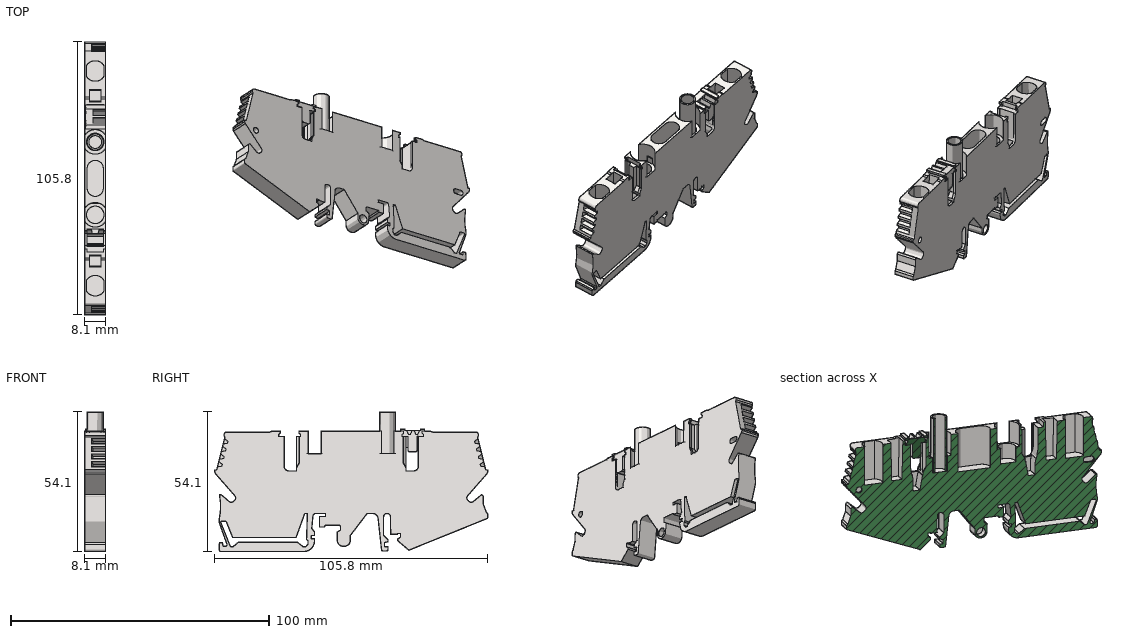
import cadquery as cq
import math

LENGTH = 105.8
WIDTH = 8.1
HALF_LENGTH = LENGTH / 2
HALF_WIDTH = WIDTH / 2
TOTAL_HEIGHT = 54.1
TOP = 46.7
END_TOP = 46.3
END_STEP_Y = (30.8, 31.5)

BORE_Y = 14.12
BORE_RADIUS = 4.8
BORE_FLOOR = 38.0
SOCKET_RADIUS = 3.4
SOCKET_FLOOR = 31.7
KEY_WIDTH = 2.5
KEY_FACE_OFFSET = 4.3
KEY_TOP = 40.7

TUBE_Y = 14.1
TUBE_RADIUS = 3.12
TUBE_INNER_RADIUS = 2.49

CENTRE_WELL_LENGTH = 14.0
CENTRE_WELL_WIDTH = 6.2
WELL_DEPTH = 15.9
WIRE_ENTRY_Y = 41.6
WIRE_ENTRY_RADIUS = 3.97
WIRE_ENTRY_WIDTH = 6.8
RELEASE_Y = 32.0
RELEASE_WIDTH = 4.4
RELEASE_LENGTH = 4.8
RELEASE_FLOOR_LENGTH = 4.0

SNAP_INNER_Y = 19.7
SNAP_OUTER_Y = 28.0
SNAP_FLOOR = 44.6
SNAP_LIP = 0.6
SNAP_LIP_BOTTOM = 45.9
SNAP_GROOVE_TOP = 45.4
SLOT_INNER_Y = 20.2
SLOT_OUTER_Y = 25.9
SLOT_FLOOR = 31.3
SLOT_CORNER_RADIUS = 1.7
SLOT_SHOULDER_TOP = 34.5
SLOT_SHOULDER_BOTTOM = 32.4
RIB_BASE_Y = 20.0
RIB_TIP_Y = 21.3
RIB_BASE_WIDTH = 3.0
RIB_TIP_WIDTH = 2.2
CHANNEL_WIDTH = 6.2
CHANNEL_INNER_Y = 19.6
CHANNEL_OUTER_Y = 28.6
CHANNEL_FLOOR = 25.4

GROOVE_WIDTH = 2.1
GROOVE_FLOOR_WIDTH = 0.7
GROOVE_DEPTH = 1.6
GRIP_START_X = -1.53
GRIP_PITCH = 3.0
GRIP_LOWEST = 33.9
GRIP_COUNT = 4
SLOPE_TOP = (49.0, 44.3)
SLOPE_BOTTOM = (52.0, 32.4)

SIDE_HOLE_Z = 28.7
SIDE_HOLE_RADIUS = 1.2
SIDE_HOLE_Y = 47.6
SIDE_SLOT_Y = -47.56
SIDE_SLOT_LENGTH = 4.3
SIDE_SLOT_HEIGHT = 2.1
SIDE_HOLE_DEPTH = 3.2
LUG_Y = -2.9
LUG_Z = 4.5
LUG_RADIUS = 2.5
LUG_HOLE_RADIUS = 1.7
LUG_HOLE_DEPTH = 5.3

CAP_LEFT = -3.7
CAP_TOP = 47.0
TAB_TOP = 47.5
TAB_OUTER_Y = 28.5
TAB_INNER_Y = 19.1
TAB_LENGTH = 1.6
STEM_OUTER_Y = 25.6
STEM_INNER_Y = 21.9
STEM_BOTTOM = 38.6
STEM_CHAMFER = 0.5
TONGUE_BOTTOM = 40.3
TONGUE_WIDTH = 2.1
CAP_GROOVE_START_X = -1.0
CAP_GROOVE_CENTRES = (25.4, 22.5)


def mirrored(points):
    """The same corners on the other side of Y = 0, in the opposite order."""
    return [(-p[0], *p[1:]) for p in reversed(points)]


def rounded_profile(points, left=-HALF_WIDTH, right=HALF_WIDTH):
    """Extrude along X a YZ polygon. A corner is (y, z) or, when rounded, (y, z, radius)."""
    stretches = []
    for i, corner in enumerate(points):
        here = cq.Vector(corner[0], corner[1])
        if len(corner) == 2:
            stretches.append((here,))
            continue
        before = points[i - 1]
        after = points[(i + 1) % len(points)]
        to_before = (cq.Vector(before[0], before[1]) - here).normalized()
        to_after = (cq.Vector(after[0], after[1]) - here).normalized()
        half_angle = to_before.getAngle(to_after) / 2
        radius = corner[2]
        setback = radius / math.tan(half_angle)
        bisector = (to_before + to_after).normalized()
        middle = here + bisector * (radius / math.sin(half_angle) - radius)
        stretches.append((here + to_before * setback, middle, here + to_after * setback))

    outline = cq.Workplane("YZ", origin=(left, 0, 0)).moveTo(*stretches[0][-1].toTuple()[:2])
    for stretch in stretches[1:] + stretches[:1]:
        outline = outline.lineTo(*stretch[0].toTuple()[:2])
        if len(stretch) == 3:
            outline = outline.threePointArc(stretch[1].toTuple()[:2], stretch[2].toTuple()[:2])
    return outline.close().extrude(right - left)


def box(x_range, y_range, z_range):
    """Box between pairs of limits."""
    lows, highs = zip(*(sorted(limits) for limits in (x_range, y_range, z_range)))
    sizes = [high - low for low, high in zip(lows, highs)]
    return cq.Workplane("XY").box(*sizes, centered=False).translate(lows)


def upright_cylinder(y, radius, bottom, top):
    return cq.Workplane("XY", origin=(0, y, bottom)).circle(radius).extrude(top - bottom)


def housing_blank():
    """Plate with the side outline of the housing: head, end notches, rail feet and label frame."""
    end = [
        (END_STEP_Y[0], TOP),
        (END_STEP_Y[1], END_TOP),
        (49.3, END_TOP, 1.1),
        (49.3, 45.0),
        SLOPE_TOP,
        SLOPE_BOTTOM,
        (52.2, 31.7),
        (HALF_LENGTH, 31.6),
        (HALF_LENGTH, 30.9),
        (52.6, 30.2),
        (44.3, 20.7, 1.3),
        (46.4, 18.7, 1.3),
    ]
    lower_plus_end = [
        (50.5, 22.1),
        (51.2, 21.5),
        (51.2, 18.4),
        (52.4, 15.2),
        (HALF_LENGTH, 14.6),
        (HALF_LENGTH, 12.9, 0.5),
    ]
    fixed_foot = [
        (22.3, 0.5),
        (18.0, 4.2),
        (18.0, 5.0),
        (19.0, 5.6),
        (19.0, 7.0),
        (18.0, 7.0),
        (18.0, 6.7),
        (15.2, 6.7),
        (15.1, 14.7, 1.2),
        (12.6, 14.7, 1.2),
    ]
    spring_leg = [
        (12.6, 6.3),
        (14.3, 4.7),
        (14.3, 3.8),
        (12.9, 3.5),
        (12.9, 1.9),
        (14.3, 1.9),
        (14.3, 0.2, 0.7),
        (11.7, 0.2, 0.7),
        (10.2, 14.7, 1.9),
    ]
    lug = [
        (6.1, 14.7),
        (-0.3, 6.2),
        (-0.3, LUG_Z - LUG_RADIUS, LUG_RADIUS - 0.1),
        (-5.4, LUG_Z - LUG_RADIUS, LUG_RADIUS - 0.1),
        (-5.5, 7.6),
        (-4.2, 8.4),
        (-4.2, 10.2, 0.4),
    ]
    hook = [
        (-10.0, 10.2),
        (-10.4, 9.5),
        (-12.4, 9.5),
        (-12.4, 13.6),
        (-10.0, 13.6),
        (-10.0, 14.7),
        (-14.7, 14.7, 0.8),
        (-15.2, 9.0),
        (-14.2, 7.6),
        (-14.2, 6.2),
        (-15.4, 6.2),
        (-15.4, 5.1),
        (-14.2, 5.1),
    ]
    label_frame = [
        (-14.2, 0.0, 4.2),
        (-51.2, 0.0, 0.8),
        (-51.2, 2.9),
        (-51.0, 3.5),
        (-49.8, 3.5),
        (-49.6, 2.1),
        (-48.4, 2.1),
        (-48.1, 2.8),
        (-51.0, 10.8),
        (-51.2, 11.5),
        (-51.2, 12.5),
        (-50.3, 17.1, 22.2),
        (-51.0, 21.4),
        (-51.0, 22.1),
        (-50.4, 22.1),
    ]
    return rounded_profile(
        end + lower_plus_end + fixed_foot + spring_leg + lug + hook + label_frame + mirrored(end)
    )


def label_window():
    """Opening between the head and the label frame at the -Y end."""
    return rounded_profile([
        (-17.0, 14.7),
        (-18.0, 14.7),
        (-21.4, 5.4),
        (-45.9, 5.4),
        (-48.5, 11.7, 0.4),
        (-50.7, 11.7, 0.4),
        (-46.8, 1.9, 0.4),
        (-45.8, 1.9),
        (-43.7, 3.7),
        (-20.8, 3.7),
        (-18.6, 1.9),
        (-17.7, 1.9),
        (-16.8, 2.9),
        (-16.8, 4.2),
        (-17.4, 4.7),
    ])


def snap_slot():
    """Cross slot with a snap groove at the top, on the +Y side, less the guide rib in it."""
    opening = TOP + 1.1
    lip_inner = SNAP_INNER_Y + SNAP_LIP
    lip_outer = SNAP_OUTER_Y - SNAP_LIP
    slot = rounded_profile([
        (lip_inner, opening),
        (lip_inner, SNAP_LIP_BOTTOM),
        (SNAP_INNER_Y, SNAP_GROOVE_TOP),
        (SNAP_INNER_Y, SNAP_FLOOR),
        (SLOT_INNER_Y, SNAP_FLOOR),
        (SLOT_INNER_Y, SLOT_SHOULDER_TOP),
        (RIB_TIP_Y, SLOT_SHOULDER_BOTTOM),
        (RIB_TIP_Y, SLOT_FLOOR),
        (SLOT_OUTER_Y, SLOT_FLOOR, SLOT_CORNER_RADIUS),
        (SLOT_OUTER_Y, SNAP_FLOOR),
        (SNAP_OUTER_Y, SNAP_FLOOR),
        (SNAP_OUTER_Y, SNAP_GROOVE_TOP),
        (lip_outer, SNAP_LIP_BOTTOM),
        (lip_outer, opening),
    ])
    rib = (
        cq.Workplane("XY", origin=(0, 0, SLOT_FLOOR))
        .polyline([
            (-RIB_BASE_WIDTH / 2, RIB_BASE_Y),
            (-RIB_TIP_WIDTH / 2, RIB_TIP_Y),
            (RIB_TIP_WIDTH / 2, RIB_TIP_Y),
            (RIB_BASE_WIDTH / 2, RIB_BASE_Y),
        ])
        .close()
        .extrude(SNAP_FLOOR - SLOT_FLOOR)
    )
    half_channel = CHANNEL_WIDTH / 2
    channel = rounded_profile([
        (CHANNEL_INNER_Y, opening),
        (CHANNEL_INNER_Y, SNAP_FLOOR),
        (RIB_BASE_Y, SNAP_FLOOR),
        (RIB_BASE_Y, SLOT_SHOULDER_TOP),
        (RIB_TIP_Y, SLOT_SHOULDER_BOTTOM),
        (22.5, CHANNEL_FLOOR),
        (25.2, CHANNEL_FLOOR),
        (25.2, 30.2),
        (26.3, 35.4),
        (26.3, SNAP_FLOOR),
        (CHANNEL_OUTER_Y, SNAP_FLOOR),
        (CHANNEL_OUTER_Y, opening),
    ], left=-half_channel, right=half_channel)
    return slot.union(channel).cut(rib)


def wire_entry():
    """Round wire well with its two X sides flattened."""
    well = upright_cylinder(WIRE_ENTRY_Y, WIRE_ENTRY_RADIUS, END_TOP - WELL_DEPTH, TOP)
    half = WIRE_ENTRY_WIDTH / 2
    limits = box((-half, half), (RELEASE_Y, HALF_LENGTH), (0, TOTAL_HEIGHT))
    return well.intersect(limits)


def release_pocket():
    """Rectangular pocket for a release tool, narrowing downward along Y."""
    half = RELEASE_WIDTH / 2
    floor = TOP - WELL_DEPTH
    return rounded_profile([
        (RELEASE_Y - RELEASE_LENGTH / 2, TOP),
        (RELEASE_Y - RELEASE_FLOOR_LENGTH / 2, floor),
        (RELEASE_Y + RELEASE_FLOOR_LENGTH / 2, floor),
        (RELEASE_Y + RELEASE_LENGTH / 2, TOP),
    ], left=-half, right=half)


def grip_grooves():
    """Finger grooves with tapered walls, square to the sloping +Y end and open toward +X."""
    taper = math.degrees(math.atan2((GROOVE_WIDTH - GROOVE_FLOOR_WIDTH) / 2, GROOVE_DEPTH))
    length = 2 * (HALF_WIDTH - GRIP_START_X)
    groove = (
        cq.Workplane("XY", origin=(GRIP_START_X + length / 2, 0, 0))
        .rect(length, GROOVE_WIDTH)
        .extrude(-GROOVE_DEPTH, taper=taper)
    )
    run = SLOPE_BOTTOM[0] - SLOPE_TOP[0]
    drop = SLOPE_TOP[1] - SLOPE_BOTTOM[1]
    tilt = math.degrees(math.atan2(run, drop)) - 90
    grooves = cq.Workplane("XY")
    for i in range(GRIP_COUNT):
        z = GRIP_LOWEST + i * GRIP_PITCH
        y = SLOPE_TOP[0] + (SLOPE_TOP[1] - z) * run / drop
        grooves = grooves.add(groove.rotate((0, 0, 0), (1, 0, 0), tilt).translate((0, y, z)))
    return grooves.combine()


def stepped_bore(y):
    """Wide bore with a narrower socket below it."""
    bore = upright_cylinder(y, BORE_RADIUS, BORE_FLOOR, TOP)
    return bore.union(upright_cylinder(y, SOCKET_RADIUS, SOCKET_FLOOR, BORE_FLOOR))


def wall_key():
    """Flat pad on the wall of the bore at -Y, on the side toward the middle."""
    half = KEY_WIDTH / 2
    face_y = -BORE_Y + KEY_FACE_OFFSET
    return box((-half, half), (face_y, -BORE_Y + BORE_RADIUS), (BORE_FLOOR, KEY_TOP))


def centre_well():
    return (
        cq.Workplane("XY", origin=(0, 0, TOP))
        .slot2D(CENTRE_WELL_LENGTH, CENTRE_WELL_WIDTH, 90)
        .extrude(-WELL_DEPTH)
    )


def side_holes():
    """Blind holes in the -X face: a round one, a slotted one and the one in the lug."""
    face = cq.Workplane("YZ", origin=(-HALF_WIDTH, 0, 0))
    round_hole = face.center(SIDE_HOLE_Y, SIDE_HOLE_Z).circle(SIDE_HOLE_RADIUS).extrude(SIDE_HOLE_DEPTH)
    slotted_hole = (
        face.center(SIDE_SLOT_Y, SIDE_HOLE_Z)
        .slot2D(SIDE_SLOT_LENGTH, SIDE_SLOT_HEIGHT)
        .extrude(SIDE_HOLE_DEPTH)
    )
    lug_hole = face.center(LUG_Y, LUG_Z).circle(LUG_HOLE_RADIUS).extrude(LUG_HOLE_DEPTH)
    return round_hole.add(slotted_hole).add(lug_hole).combine()


def make_housing():
    housing = housing_blank().cut(label_window()).cut(centre_well()).cut(side_holes())
    for feature in (snap_slot(), wire_entry(), release_pocket(), grip_grooves()):
        housing = housing.cut(feature).cut(feature.mirror("XZ"))
    for y in (BORE_Y, -BORE_Y):
        housing = housing.cut(stepped_bore(y))
    return housing.union(wall_key())


def make_tube():
    """Hollow tube resting on the floor of the +Y socket."""
    tube = upright_cylinder(TUBE_Y, TUBE_RADIUS, SOCKET_FLOOR, TOTAL_HEIGHT)
    return tube.cut(upright_cylinder(TUBE_Y, TUBE_INNER_RADIUS, SOCKET_FLOOR, TOTAL_HEIGHT))


def make_marker_cap():
    """Cap snapped into the +Y slot, with a stem below and two grooves in its upper face."""
    lip_inner = SNAP_INNER_Y + SNAP_LIP
    lip_outer = SNAP_OUTER_Y - SNAP_LIP
    cap = rounded_profile([
        (TAB_INNER_Y, TAB_TOP),
        (TAB_INNER_Y, TOP),
        (lip_inner, TOP),
        (lip_inner, SNAP_LIP_BOTTOM),
        (SNAP_INNER_Y, SNAP_GROOVE_TOP),
        (SNAP_INNER_Y, SNAP_FLOOR),
        (STEM_INNER_Y, SNAP_FLOOR),
        (STEM_INNER_Y, STEM_BOTTOM + STEM_CHAMFER),
        (STEM_INNER_Y + STEM_CHAMFER, STEM_BOTTOM),
        (STEM_OUTER_Y - STEM_CHAMFER, STEM_BOTTOM),
        (STEM_OUTER_Y, STEM_BOTTOM + STEM_CHAMFER),
        (STEM_OUTER_Y, SNAP_FLOOR),
        (SNAP_OUTER_Y, SNAP_FLOOR),
        (SNAP_OUTER_Y, SNAP_GROOVE_TOP),
        (lip_outer, SNAP_LIP_BOTTOM),
        (lip_outer, TOP),
        (TAB_OUTER_Y, TOP),
        (TAB_OUTER_Y, TAB_TOP),
        (TAB_OUTER_Y - TAB_LENGTH, TAB_TOP),
        (TAB_OUTER_Y - TAB_LENGTH, CAP_TOP),
        (TAB_INNER_Y + TAB_LENGTH, CAP_TOP),
        (TAB_INNER_Y + TAB_LENGTH, TAB_TOP),
    ], left=CAP_LEFT)
    tongue = box(
        (-TONGUE_WIDTH / 2, TONGUE_WIDTH / 2), (RIB_TIP_Y, STEM_INNER_Y), (TONGUE_BOTTOM, SNAP_FLOOR)
    )
    cap = cap.union(tongue)
    for y in CAP_GROOVE_CENTRES:
        groove = rounded_profile([
            (y - GROOVE_WIDTH / 2, CAP_TOP),
            (y - GROOVE_FLOOR_WIDTH / 2, CAP_TOP - GROOVE_DEPTH),
            (y + GROOVE_FLOOR_WIDTH / 2, CAP_TOP - GROOVE_DEPTH),
            (y + GROOVE_WIDTH / 2, CAP_TOP),
        ], left=CAP_GROOVE_START_X)
        cap = cap.cut(groove)
    return cap


housing = make_housing()
tube = make_tube()
marker_cap = make_marker_cap()
result = cq.Compound.makeCompound([housing.val(), tube.val(), marker_cap.val()])